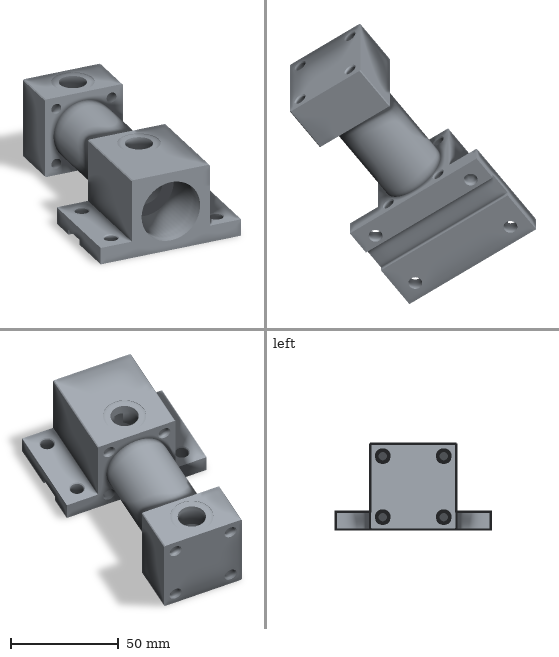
import cadquery as cq
import math

total_length = 119.0
block_size = 40.0
head_length = 24.0
body_length = 48.0
body_start = total_length - body_length
tube_diameter = 31.0
axis_height = block_size / 2
edge_chamfer = 0.5

foot_width = 72.0
foot_thickness = 8.5
foot_slot_width = 12.0
foot_slot_depth = 2.5
foot_slot_start = 13.0
mount_hole_diameter = 6.4
mount_hole_chamfer = 0.5
mount_hole_first = 8.0
mount_hole_spacing_x = 32.0
mount_hole_spacing_y = 54.0

screw_hole_diameter = 5.0
screw_hole_chamfer = 0.6
screw_hole_spacing = 28.3
body_screw_depth = 14.3

port_diameter = 13.1
spotface_diameter = 20.0
spotface_depth = 0.2
head_port_x = head_length / 2
head_port_depth = 11.9
body_port_x = body_start + 13.1
drill_point_angle = 118.0

bore_diameter = 18.0
chamber_diameter = 30.0
chamber_floor_offset = 6.2
passage_diameter = 7.0
passage_overrun = 4.0


def block(start, length, width, height):
    """Box standing on Z = 0, centred in Y, starting at the given X."""
    base = cq.Workplane("XY", origin=(start, 0, 0))
    return base.box(length, width, height, centered=(False, True, False))


def rod_x(start, end, diameter):
    """Cylinder on the tube axis between two X positions."""
    return cq.Workplane("YZ", origin=(start, 0, axis_height)).circle(diameter / 2).extrude(end - start)


def rod_down(x, top, diameter, depth):
    """Cylinder on the Y = 0 plane going down from the given top height."""
    return cq.Workplane("XY", origin=(x, 0, top)).circle(diameter / 2).extrude(-depth)


def cut_chamfered_hole(part, start, direction, diameter, depth, chamfer):
    """Straight hole from the start point, its mouth widened by a chamfer."""
    radius = diameter / 2
    point = cq.Vector(*start)
    axis = cq.Vector(*direction)
    hole = cq.Solid.makeCylinder(radius, depth, point, axis)
    mouth = cq.Solid.makeCone(radius + chamfer, radius, chamfer, point, axis)
    return part.cut(cq.Workplane(obj=hole)).cut(cq.Workplane(obj=mouth))


def cut_screw_holes(part, face_x, depth):
    """Four corner screw holes entering a block through its -X face."""
    half = screw_hole_spacing / 2
    for y in (-half, half):
        for z in (axis_height - half, axis_height + half):
            part = cut_chamfered_hole(
                part, (face_x, y, z), (1, 0, 0), screw_hole_diameter, depth, screw_hole_chamfer
            )
    return part


def make_head():
    head = block(0, head_length, block_size, block_size).edges("|X").chamfer(edge_chamfer)
    return cut_screw_holes(head, 0, head_length)


def make_body():
    body = block(body_start, body_length, block_size, block_size)
    body = body.edges("|X and >Z").chamfer(edge_chamfer)
    body = body.union(block(body_start, body_length, foot_width, foot_thickness))
    slot_start = body_start + foot_slot_start
    body = body.cut(block(slot_start, foot_slot_width, foot_width, foot_slot_depth))
    for x_offset in (mount_hole_first, mount_hole_first + mount_hole_spacing_x):
        for side in (-1, 1):
            mouth = (body_start + x_offset, side * mount_hole_spacing_y / 2, foot_thickness)
            body = cut_chamfered_hole(
                body, mouth, (0, 0, -1), mount_hole_diameter, foot_thickness, mount_hole_chamfer
            )
    return cut_screw_holes(body, body_start, body_screw_depth)


def cut_port(part, x, depth):
    """Round port with a shallow spotface in the top face of a block."""
    part = part.cut(rod_down(x, block_size, spotface_diameter, spotface_depth))
    return part.cut(rod_down(x, block_size, port_diameter, depth))


def cut_head_passages(part):
    """Conical port floor leading down to the passage along the tube axis."""
    port_radius = port_diameter / 2
    passage_radius = passage_diameter / 2
    floor = block_size - head_port_depth
    cone_depth = (port_radius - passage_radius) / math.tan(math.radians(drill_point_angle / 2))
    cone = cq.Solid.makeCone(
        port_radius, passage_radius, cone_depth, cq.Vector(head_port_x, 0, floor), cq.Vector(0, 0, -1)
    )
    part = part.cut(cq.Workplane(obj=cone))
    part = part.cut(rod_down(head_port_x, floor, passage_diameter, floor - axis_height))
    return part.cut(rod_x(head_port_x - passage_overrun, head_length, passage_diameter))


tube = rod_x(head_length, body_start, tube_diameter)
result = make_head().union(tube).union(make_body())

chamber_floor = body_port_x + chamber_floor_offset
result = result.cut(rod_x(head_length, chamber_floor, bore_diameter))
result = result.cut(rod_x(chamber_floor, total_length, chamber_diameter))

result = cut_port(result, head_port_x, head_port_depth)
result = cut_head_passages(result)
result = cut_port(result, body_port_x, block_size - axis_height)